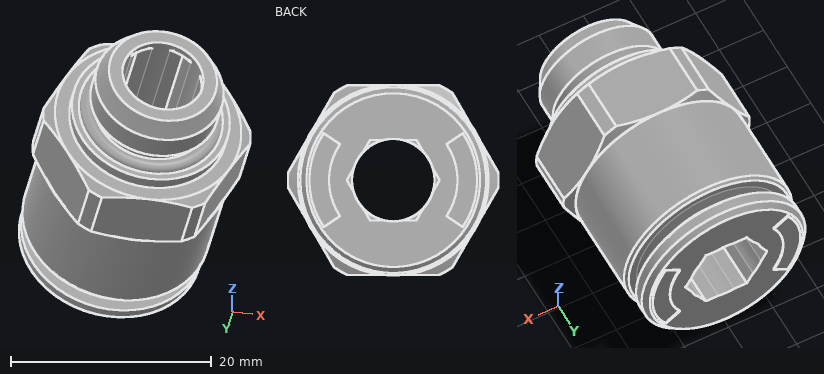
import math

import cadquery as cq


bore_diameter = 8.2
socket_across_flats = 8.0
socket_start = 1.0

thread_diameter = 13.0
tip_diameter = 10.95
tip_chamfer_length = 1.85
thread_end = 4.6
relief_diameter = 11.6

seal_front = 5.8
seal_crest_diameter = 12.8
seal_diameter = 14.6
seal_root = 6.15
collar_diameter = 16.0
collar_front = 6.55

hex_across_flats = 18.9
hex_corner_diameter = 21.0
hex_face_diameter = 18.9
hex_chamfer_angle = 30.0
hex_front = 8.0
hex_back = 15.0

sleeve_diameter = 19.0
sleeve_back = 25.58
sleeve_chamfer = 0.35
end_cone_diameter = 16.5
end_cone_height = 0.22

ring_neck_diameter = 13.5
ring_diameter = 18.5
ring_front = 27.3
ring_back = 29.1
ring_chamfer = 0.6
neck_chamfer = 0.18

total_length = 29.2
pad_inner_radius = 6.4
pad_outer_radius = 8.35
pad_half_angle = 34.0


def revolve_about_y(profile):
    return profile.close().revolve(360, (0, 0, 0), (0, 1, 0))


def section(start_y, end_y):
    """XZ workplane at start_y, with the length to extrude towards +Y."""
    plane = cq.Workplane("XZ", origin=(0, start_y, 0))
    return plane, start_y - end_y


def hexagonal_prism(across_flats, start_y, end_y):
    """Hexagon with two corners on the X axis."""
    plane, length = section(start_y, end_y)
    return plane.polygon(6, across_flats / math.cos(math.pi / 6)).extrude(length)


def make_spigot():
    """Thread, relief, rounded seal and collar, up to the hexagon."""
    thread_radius = thread_diameter / 2
    relief_radius = relief_diameter / 2
    seal_radius = seal_diameter / 2
    relief_start = thread_end + thread_radius - relief_radius
    profile = (
        cq.Workplane("XY")
        .lineTo(tip_diameter / 2, 0)
        .lineTo(thread_radius, tip_chamfer_length)
        .lineTo(thread_radius, thread_end)
        .lineTo(relief_radius, relief_start)
        .lineTo(relief_radius, seal_root)
        .threePointArc((seal_crest_diameter / 2, seal_front), (seal_radius, collar_front))
        .lineTo(collar_diameter / 2, collar_front)
        .lineTo(collar_diameter / 2, hex_front)
        .lineTo(0, hex_front)
    )
    return revolve_about_y(profile)


def make_wrench_hexagon():
    """Hexagon with rounded corners and a conical chamfer on both faces."""
    face_radius = hex_face_diameter / 2
    corner_radius = hex_corner_diameter / 2
    chamfer_length = (corner_radius - face_radius) * math.tan(math.radians(hex_chamfer_angle))
    envelope = (
        cq.Workplane("XY")
        .moveTo(0, hex_front)
        .lineTo(face_radius, hex_front)
        .lineTo(corner_radius, hex_front + chamfer_length)
        .lineTo(corner_radius, hex_back - chamfer_length)
        .lineTo(face_radius, hex_back)
        .lineTo(0, hex_back)
    )
    prism = hexagonal_prism(hex_across_flats, hex_front, hex_back)
    return prism.intersect(revolve_about_y(envelope))


def make_sleeve_and_ring():
    """Tube sleeve with a shallow end cone, then the necked release ring."""
    sleeve_radius = sleeve_diameter / 2
    neck_radius = ring_neck_diameter / 2
    ring_radius = ring_diameter / 2
    profile = (
        cq.Workplane("XY")
        .moveTo(0, hex_back)
        .lineTo(sleeve_radius, hex_back)
        .lineTo(sleeve_radius, sleeve_back - sleeve_chamfer)
        .lineTo(sleeve_radius - sleeve_chamfer, sleeve_back)
        .lineTo(end_cone_diameter / 2, sleeve_back)
        .lineTo(neck_radius, sleeve_back + end_cone_height)
        .lineTo(neck_radius, ring_front - neck_chamfer)
        .lineTo(neck_radius + neck_chamfer, ring_front)
        .lineTo(ring_radius, ring_front)
        .lineTo(ring_radius, ring_back - ring_chamfer)
        .lineTo(ring_radius - ring_chamfer, ring_back)
        .lineTo(0, ring_back)
    )
    return revolve_about_y(profile)


def make_grip_pad(side):
    """Low arc-shaped pad centred on the X axis; side is +1 or -1."""

    def point(radius, angle):
        turn = math.radians(angle)
        return (side * radius * math.cos(turn), radius * math.sin(turn))

    plane, length = section(ring_back, total_length)
    return (
        plane.moveTo(*point(pad_inner_radius, -pad_half_angle))
        .lineTo(*point(pad_outer_radius, -pad_half_angle))
        .threePointArc(point(pad_outer_radius, 0), point(pad_outer_radius, pad_half_angle))
        .lineTo(*point(pad_inner_radius, pad_half_angle))
        .threePointArc(point(pad_inner_radius, 0), point(pad_inner_radius, -pad_half_angle))
        .close()
        .extrude(length)
    )


def make_bore():
    """Round through bore whose wall is notched by the socket corners."""
    plane, length = section(0, ring_back)
    round_bore = plane.circle(bore_diameter / 2).extrude(length)
    return round_bore.union(hexagonal_prism(socket_across_flats, socket_start, ring_back))


body = make_spigot().union(make_wrench_hexagon()).union(make_sleeve_and_ring())
for pad_side in (1, -1):
    body = body.union(make_grip_pad(pad_side))

result = body.cut(make_bore())